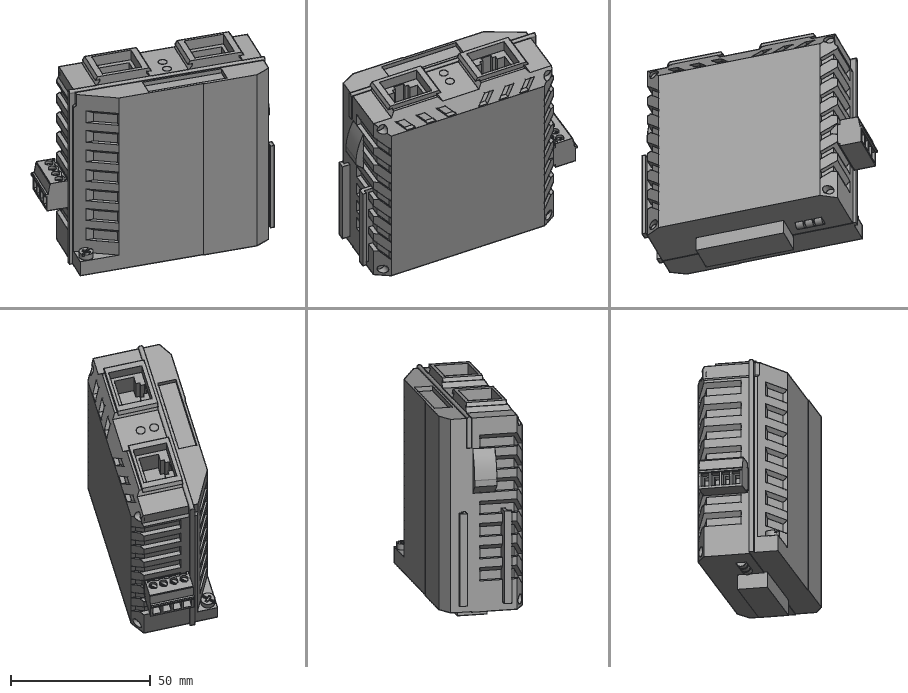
import cadquery as cq
import math


depth = 72.0
height = 72.1
mid_y = depth / 2
rib_left = 20.2
rib_right = 22.0
rib_front_lip = 1.2
rib_back_lip = 0.6
rib_top_lip = 0.7
rib_back_lip_z = 61.1
right_floor = 0.25
right_side = 30.7
pad_thickness = 0.25
pad_front = 46.5
overall_width = right_side + pad_thickness
chamfer_x = 3.4
chamfer_run = 5.4
back_corner_x = 27.9
screw_turn = -45
over = 1.7

panel_recess = 0.9
panel_bottom = 67.4

slot_count = 7
slot_pitch = 8.2
slot_top = 65.6
slot_height = 5.0
slot_depth = 1.7
slot_right = 17.1
slant_slot_depth = 1.35
slant_slot_left = 25.2
top_slot_count = 3
top_slot_outer_y = 8.3
top_slot_width = 3.5
top_slot_low = 67.0
top_slot_high = 70.4

corner_hole_radius = 1.8
corner_hole_end = 4.0
corner_hole_y = 2.9
corner_hole_z = (2.95, 69.2)

slant_x = 23.15
slant_y = 14.6
ledge_z = 6.2
earth_x = 27.9
earth_y = 3.1
earth_radius = 2.5
earth_height = 2.2
earth_slot = 0.85
earth_slot_depth = 0.8
earth_short_slot = 2.95

jack_ys = (19.7, 54.6)
mound_base = 20.45
mound_top = 17.6
mound_z = 73.85
collar_left = 5.4
collar_width = 21.1
collar_bevel = 0.85
collar_z = 74.45
collar_top = 75.8
opening_x = (6.5, 18.8)
opening_width = 14.8
opening_depth = 4.05
contact_depth = 8.45
contact_x = (8.3, 15.5, 16.9, 18.3)
contact_width = (12.2, 6.25, 3.8)

lamp_xs = (11.9, 16.9)
lamp_y = 37.3
lamp_radius = 1.6
lamp_mark_depth = 0.1
label_x = (23.1, 29.75)
label_y = (26.0, 55.7)
label_depth = 1.7

rail_x = 15.6
back_reach = 2.95
latch_width = 8.2
latch_top = 60.7
latch_nose_top = 49.6
latch_nose_bottom = 47.2
latch_bottom = 44.1
latch_bulge = 0.7
hook_bottom = 3.2
hook_top = 37.5
hook_thickness = 1.35
hook_flange = 2.8
hook_inner = 6.85

bus_x = (10.4, 21.4)
bus_y = (22.8, 55.9)
bus_drop = 5.5
disc_radius = 2.0
disc_x = 14.9
disc_z = 0.6
disc_width = 2.9
disc_pitch = 3.55
disc_first_y = 9.4
disc_count = 3

header_left = 3.4
header_depth = 6.8
header_z = (24.6, 32.2)
plug_x = (3.55, 19.6)
plug_z = (22.7, 34.0)
plug_neck_z = (23.8, 32.2)
plug_back = -0.85
plug_face = -8.9
plug_lip = -9.55
plug_lip_z = (28.65, 29.7)
plug_lip_bevel = 0.3
plug_slope_bottom = -8.45
plug_slope_top = -7.8
plug_top_edge = -7.6
plug_step = 0.3
pole_count = 4
pole_pitch = 3.8
pole_width = 2.95
pole_z = (23.7, 28.3)
pole_depth = 2.95
wire_width = 1.8
wire_z = (24.2, 27.7)
wire_ceiling_fall = 0.8
wire_depth = 1.3
clamp_y = -3.6
clamp_radius = 1.4
clamp_depth = 1.2
clamp_slot = (2.45, 0.5, 0.4)
clamp_wall_radius = 2.2
rear_pocket_front = -1.95
rear_pocket_side = 0.85


def block(xs, ys, zs):
    """Box between two X, two Y and two Z values."""
    size = (xs[1] - xs[0], ys[1] - ys[0], zs[1] - zs[0])
    return cq.Workplane().box(*size, centered=False).translate((xs[0], ys[0], zs[0]))


def along_x(points, x0, x1):
    """Prism of a (Y, Z) outline from x0 to x1."""
    return cq.Workplane("YZ", origin=(x0, 0, 0)).polyline(points).close().extrude(x1 - x0)


def along_y(points, y0, y1):
    """Prism of an (X, Z) outline from y0 to y1."""
    return cq.Workplane("XZ", origin=(0, y0, 0)).polyline(points).close().extrude(y0 - y1)


def along_z(points, z0, z1):
    """Prism of an (X, Y) outline from z0 to z1."""
    return cq.Workplane("XY", origin=(0, 0, z0)).polyline(points).close().extrude(z1 - z0)


def disc(x, y, z, radius, length):
    """Upright cylinder from z, downwards if the length is negative."""
    return cq.Workplane("XY", origin=(x, y, z)).circle(radius).extrude(length)


def mirrored(shape):
    """The same shape at the opposite end in Y."""
    return shape.mirror("XZ", (0, mid_y, 0))


def slot_rims():
    return [slot_top - i * slot_pitch for i in range(slot_count)]


def left_half():
    """Left half with its jack mounds and the sloped edges of the left side."""
    body = block((0, rib_left), (0, depth), (0, height))
    for y in jack_ys:
        profile = [
            (y - mound_base / 2, height),
            (y - mound_top / 2, mound_z),
            (y + mound_top / 2, mound_z),
            (y + mound_base / 2, height),
        ]
        neck = block((collar_left, rib_left), (y - mound_top / 2, y + mound_top / 2), (mound_z, collar_z))
        body = body.union(along_x(profile, chamfer_x, rib_left)).union(neck)

    rise = 2 * chamfer_run
    slope = [(0, height - chamfer_run), (2 * chamfer_x, height - chamfer_run + rise), (0, collar_top + over)]
    side_slope = along_z([(0, 0), (chamfer_x, 0), (0, chamfer_run)], 0, height)
    return body.cut(along_y(slope, 0, depth)).cut(side_slope).cut(mirrored(side_slope))


def right_half():
    """Right half with the bevelled back corner, the side pad and the slanted front corner."""
    outline = [
        (rib_right, 0),
        (right_side, 0),
        (right_side, pad_front),
        (overall_width, pad_front),
        (overall_width, depth - chamfer_run),
        (back_corner_x, depth),
        (rib_right, depth),
    ]
    corner = [(slant_x, 0), (right_side, slant_y), (right_side, 0)]
    return along_z(outline, right_floor, height).cut(along_z(corner, ledge_z, height))


def panel_cutter():
    """Shallow recess along the top of the front, ending in a sloped ledge."""
    profile = [
        (0, panel_bottom - panel_recess),
        (panel_recess, panel_bottom),
        (panel_recess, height),
        (0, height),
    ]
    return along_x(profile, 0, overall_width)


def rib():
    """Dividing rib with a half-round crown, standing out of the front, top and upper back."""
    back = depth + rib_back_lip
    top = height + rib_top_lip
    shoulder = top - (rib_right - rib_left) / 2
    bar = block((rib_left, rib_right), (-rib_front_lip, depth), (right_floor, shoulder))
    back_lip = block((rib_left, rib_right), (depth, back), (rib_back_lip_z, shoulder))
    crown = (
        cq.Workplane("XZ", origin=(0, back, 0))
        .moveTo(rib_left, shoulder)
        .threePointArc(((rib_left + rib_right) / 2, top), (rib_right, shoulder))
        .close()
        .extrude(back + rib_front_lip)
    )
    return bar.union(back_lip).union(crown)


def collar(y):
    """Overhanging frame around a jack opening."""
    half = collar_width / 2
    profile = [
        (y - half, collar_z),
        (y + half, collar_z),
        (y + half - collar_bevel, collar_top),
        (y - half + collar_bevel, collar_top),
    ]
    return along_x(profile, collar_left, rib_left)


def jack_cutter(y):
    """Rectangular opening with a stepped socket in its floor."""
    floor = collar_top - opening_depth
    cutter = block(opening_x, (y - opening_width / 2, y + opening_width / 2), (floor, collar_top))
    for end, width in zip(contact_x[1:], contact_width):
        step = block((contact_x[0], end), (y - width / 2, y + width / 2), (floor - contact_depth, floor))
        cutter = cutter.union(step)
    return cutter


def front_slot(rim):
    """Slot across the front and the sloped edge, with a ceiling that falls at 45 degrees."""
    chamfer_slope = chamfer_run / chamfer_x
    floor_corner = slot_depth + (chamfer_run - slot_depth) / chamfer_slope
    plan = [
        (-over, -over),
        (slot_right, -over),
        (slot_right, slot_depth),
        (floor_corner, slot_depth),
        (slot_depth, chamfer_run),
        (-over, chamfer_run),
    ]
    sill = rim - slot_height
    profile = [
        (-over, rim + over),
        (chamfer_run, rim - chamfer_run),
        (chamfer_run, sill - chamfer_run + slot_depth),
        (slot_depth, sill),
        (-over, sill),
    ]
    return along_z(plan, sill - chamfer_run, rim + over).intersect(along_x(profile, -over, slot_right))


def slant_slot(rim):
    """Slot in the slanted face, with a ceiling that falls at 45 degrees into the wall."""
    run = right_side - slant_x
    length = math.hypot(run, slant_y)
    plane = cq.Plane(origin=(slant_x, 0, 0), xDir=(-slant_y, run, 0), normal=(run, slant_y, 0))
    sill = rim - slot_height
    profile = [
        (-over, rim + over),
        (slant_slot_depth, rim - slant_slot_depth),
        (slant_slot_depth, sill),
        (-over, sill),
    ]
    bar = cq.Workplane(plane).polyline(profile).close().extrude(length + over)
    return bar.intersect(block((slant_slot_left, right_side + over), (0, slant_y), (0, height)))


def top_slot(y):
    """Leaning slot in the top slope, its floor parallel to the slope."""
    lean = top_slot_high - top_slot_low
    slope = chamfer_x / chamfer_run
    slope_start = height - chamfer_run
    floor = [slot_depth + (z - slope_start) * slope for z in (top_slot_low, top_slot_high)]
    section = [
        (-over, top_slot_low),
        (floor[0], top_slot_low),
        (floor[1], top_slot_high),
        (-over, top_slot_high),
    ]
    outline = [
        (y, top_slot_high),
        (y + top_slot_width, top_slot_high),
        (y + top_slot_width + lean, top_slot_low),
        (y + lean, top_slot_low),
    ]
    return along_x(outline, -over, floor[1]).intersect(along_y(section, 0, depth))


def corner_hole(z):
    plane = cq.Workplane("YZ", origin=(0, corner_hole_y, z))
    return plane.circle(corner_hole_radius).extrude(corner_hole_end)


def earth_screw():
    """Terminal screw with one full and one short slot, both diagonal."""
    top = ledge_z + earth_height
    slots = (
        cq.Workplane("XY", origin=(0, 0, top))
        .rect(2 * earth_radius + over, earth_slot)
        .extrude(-earth_slot_depth)
    )
    short = (
        cq.Workplane("XY", origin=(0, 0, top))
        .rect(earth_slot, earth_short_slot)
        .extrude(-earth_slot_depth)
    )
    slots = slots.union(short).rotate((0, 0, 0), (0, 0, 1), screw_turn).translate((earth_x, earth_y, 0))
    return disc(earth_x, earth_y, ledge_z, earth_radius, earth_height).cut(slots)


def latch():
    """Rail latch with a rounded upper flank."""
    nose = depth + back_reach
    flank_mid = (depth + latch_bulge * back_reach, (latch_top + latch_nose_top) / 2)
    return (
        cq.Workplane("YZ", origin=(rail_x - latch_width / 2, 0, 0))
        .moveTo(depth, latch_top)
        .threePointArc(flank_mid, (nose, latch_nose_top))
        .lineTo(nose, latch_nose_bottom)
        .lineTo(depth, latch_bottom)
        .close()
        .extrude(latch_width)
    )


def rail_hook():
    """L-shaped hook on the right of the rail centre, its web rooted at the floor of the slots."""
    inner = rail_x + hook_inner
    outer_y = depth + back_reach
    root = depth - slot_depth
    web = block((inner, inner + hook_thickness), (root, outer_y), (hook_bottom, hook_top))
    flange = block((inner, inner + hook_flange), (outer_y - hook_thickness, outer_y), (hook_bottom, hook_top))
    return web.union(flange)


def selector_disc(y):
    plane = cq.Workplane("XZ", origin=(disc_x, y, disc_z))
    return plane.circle(disc_radius).extrude(-disc_width)


def make_housing():
    body = left_half().union(right_half()).cut(panel_cutter()).union(rib())

    for y in jack_ys:
        body = body.union(collar(y)).cut(jack_cutter(y))

    for rim in slot_rims():
        slot = front_slot(rim)
        body = body.cut(slot).cut(mirrored(slot)).cut(slant_slot(rim))
    for i in range(top_slot_count):
        slot = top_slot(top_slot_outer_y + i * slot_pitch)
        body = body.cut(slot).cut(mirrored(slot))
    for z in corner_hole_z:
        hole = corner_hole(z)
        body = body.cut(hole).cut(mirrored(hole))

    body = body.cut(block(label_x, label_y, (height - label_depth, height)))
    for x in lamp_xs:
        body = body.cut(disc(x, lamp_y, height, lamp_radius, -lamp_mark_depth))

    hook = rail_hook()
    body = body.union(earth_screw()).union(latch())
    body = body.union(hook).union(hook.mirror("YZ", (rail_x, 0, 0)))
    body = body.union(block(bus_x, bus_y, (-bus_drop, right_floor)))
    for i in range(disc_count):
        body = body.union(selector_disc(disc_first_y + i * disc_pitch))

    return body.union(block((header_left, plug_x[1]), (0, header_depth), header_z))


def make_plug():
    """Terminal plug: neck, body with a front lip, wire windows and clamp screws."""
    profile = [
        (plug_back, plug_z[0]),
        (plug_face, plug_z[0]),
        (plug_face, plug_lip_z[0]),
        (plug_lip, plug_lip_z[0]),
        (plug_lip, plug_lip_z[1] - plug_lip_bevel),
        (plug_lip + plug_lip_bevel, plug_lip_z[1]),
        (plug_slope_bottom, plug_lip_z[1]),
        (plug_slope_top, plug_z[1] - plug_step),
        (plug_top_edge, plug_z[1] - plug_step),
        (plug_top_edge, plug_z[1]),
        (plug_back, plug_z[1]),
    ]
    plug = along_x(profile, *plug_x).union(block(plug_x, (plug_back, 0), plug_neck_z))

    middle = sum(plug_x) / 2
    pole_xs = [middle + (i - (pole_count - 1) / 2) * pole_pitch for i in range(pole_count)]
    pocket_x = (plug_x[0] + rear_pocket_side, plug_x[1] - rear_pocket_side)
    pocket = block(pocket_x, (rear_pocket_front, plug_back), (plug_neck_z[1], plug_z[1]))
    for x in pole_xs:
        pocket = pocket.cut(disc(x, clamp_y, plug_neck_z[1], clamp_wall_radius, plug_z[1] - plug_neck_z[1]))
    plug = plug.cut(pocket)

    slot_length, slot_width, slot_cut = clamp_slot
    pole_back = plug_face + pole_depth
    for x in pole_xs:
        window = block((x - pole_width / 2, x + pole_width / 2), (plug_face, pole_back), pole_z)
        wire_end = pole_back + wire_depth
        wire_profile = [
            (pole_back, wire_z[0]),
            (wire_end, wire_z[0]),
            (wire_end, wire_z[1] - wire_ceiling_fall),
            (pole_back, wire_z[1]),
        ]
        wire = along_x(wire_profile, x - wire_width / 2, x + wire_width / 2)
        screw_top = plug_z[1] - clamp_depth
        slot = (
            cq.Workplane("XY", origin=(x, clamp_y, screw_top))
            .transformed(rotate=(0, 0, screw_turn))
            .rect(slot_length, slot_width)
            .extrude(-slot_cut)
        )
        well = disc(x, clamp_y, plug_z[1], clamp_radius, -clamp_depth)
        plug = plug.cut(window).cut(wire).cut(well).cut(slot)
    return plug


housing = make_housing()
plug = make_plug()
result = cq.Compound.makeCompound([housing.val(), plug.val()])